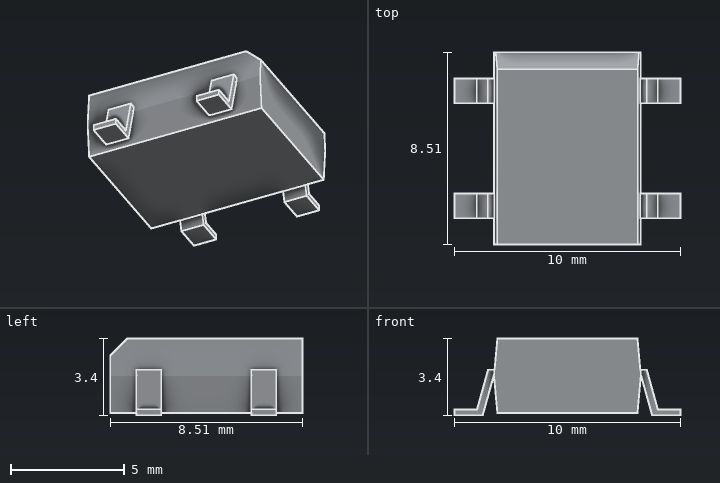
import cadquery as cq

BODY_LENGTH = 8.51
BODY_MID_WIDTH = 6.5
BODY_END_WIDTH = 6.2
BODY_HEIGHT = 3.3
STANDOFF = 0.1
CHAMFER = 0.75

LEAD_SPAN = 10.0
LEAD_PITCH = 5.08
LEAD_WIDTH = 1.1
LEAD_THICKNESS = 0.26
FOOT_LENGTH = 1.0
LEG_RUN = 0.49
LEAD_HEIGHT = 2.02


def make_body():
    """Six-sided profile extruded along Y, with the +Y top edge cut off."""
    mid_x = BODY_MID_WIDTH / 2
    end_x = BODY_END_WIDTH / 2
    bottom_z = STANDOFF
    mid_z = STANDOFF + BODY_HEIGHT / 2
    top_z = STANDOFF + BODY_HEIGHT
    profile = [
        (-end_x, bottom_z),
        (end_x, bottom_z),
        (mid_x, mid_z),
        (end_x, top_z),
        (-end_x, top_z),
        (-mid_x, mid_z),
    ]
    body = cq.Workplane("XZ").polyline(profile).close().extrude(BODY_LENGTH / 2, both=True)

    back_y = BODY_LENGTH / 2
    corner = [(back_y, top_z), (back_y - CHAMFER, top_z), (back_y, top_z - CHAMFER)]
    corner_cut = cq.Workplane("YZ").polyline(corner).close().extrude(BODY_MID_WIDTH / 2, both=True)
    return body.cut(corner_cut)


def make_left_lead(center_y):
    """Flat foot and a sloped leg whose horizontal thickness equals the foot's thickness."""
    tip_x = -LEAD_SPAN / 2
    knee_x = tip_x + FOOT_LENGTH
    heel_x = knee_x + LEAD_THICKNESS
    leg_top_x = knee_x + LEG_RUN
    leg_slope = LEG_RUN / (LEAD_HEIGHT - LEAD_THICKNESS)
    buried_x = heel_x + leg_slope * LEAD_HEIGHT
    profile = [
        (tip_x, 0),
        (heel_x, 0),
        (buried_x, LEAD_HEIGHT),
        (leg_top_x, LEAD_HEIGHT),
        (knee_x, LEAD_THICKNESS),
        (tip_x, LEAD_THICKNESS),
    ]
    lead = cq.Workplane("XZ").polyline(profile).close().extrude(LEAD_WIDTH / 2, both=True)
    return lead.translate((0, center_y, 0))


result = make_body()
for lead_y in (-LEAD_PITCH / 2, LEAD_PITCH / 2):
    left_lead = make_left_lead(lead_y)
    result = result.union(left_lead).union(left_lead.mirror("YZ"))